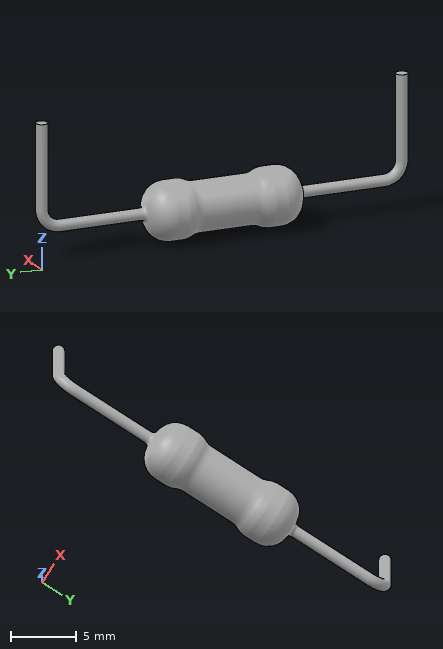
import cadquery as cq
import math

overall_length = 31.0
cap_diameter = 4.8
waist_diameter = 4.1
lead_diameter = 1.0
overall_height = 10.9
bend_radius = 1.5

waist_end = 2.2
cap_start = 3.6
dome_start = 4.62
body_end = 6.8
dome_radius = 1.8

cap_radius = cap_diameter / 2
waist_radius = waist_diameter / 2
lead_radius = lead_diameter / 2
leg_y = overall_length / 2 - lead_radius
leg_top = overall_height - cap_radius

dome_center_x = cap_radius - dome_radius
dome_rise = body_end - dome_start
lead_offset = dome_center_x - lead_radius
neck_radius = (dome_rise**2 + lead_offset**2 - dome_radius**2) / (2 * (dome_radius + lead_offset))
neck_center_x = lead_radius + neck_radius
contact_angle = math.atan2(dome_rise, neck_center_x - dome_center_x)


def arc_point(center_x, center_y, radius, angle):
    return (center_x + radius * math.cos(angle), center_y + radius * math.sin(angle))


def half_body():
    """Revolve one half of the body, from its middle to the end of the neck."""
    shoulder_mid = ((waist_radius + cap_radius) / 2, (waist_end + cap_start) / 2)
    dome_mid = arc_point(dome_center_x, dome_start, dome_radius, contact_angle / 2)
    dome_end = arc_point(dome_center_x, dome_start, dome_radius, contact_angle)
    neck_mid_angle = contact_angle / 2 - math.pi
    neck_mid = arc_point(neck_center_x, body_end, neck_radius, neck_mid_angle)
    return (
        cq.Workplane("XY")
        .lineTo(waist_radius, 0)
        .lineTo(waist_radius, waist_end)
        .tangentArcPoint(shoulder_mid, relative=False)
        .tangentArcPoint((cap_radius, cap_start), relative=False)
        .lineTo(cap_radius, dome_start)
        .threePointArc(dome_mid, dome_end)
        .threePointArc(neck_mid, (lead_radius, body_end))
        .lineTo(0, body_end)
        .close()
        .revolve(360, (0, 0, 0), (0, 1, 0))
    )


def half_lead():
    """Sweep a lead from the middle of the body out and up through its bend."""
    path = (
        cq.Workplane("YZ")
        .lineTo(leg_y - bend_radius, 0)
        .tangentArcPoint((leg_y, bend_radius), relative=False)
        .lineTo(leg_y, leg_top)
    )
    return cq.Workplane("XZ").circle(lead_radius).sweep(path)


half = half_body().union(half_lead())
result = half.union(half.mirror("XZ")).clean()